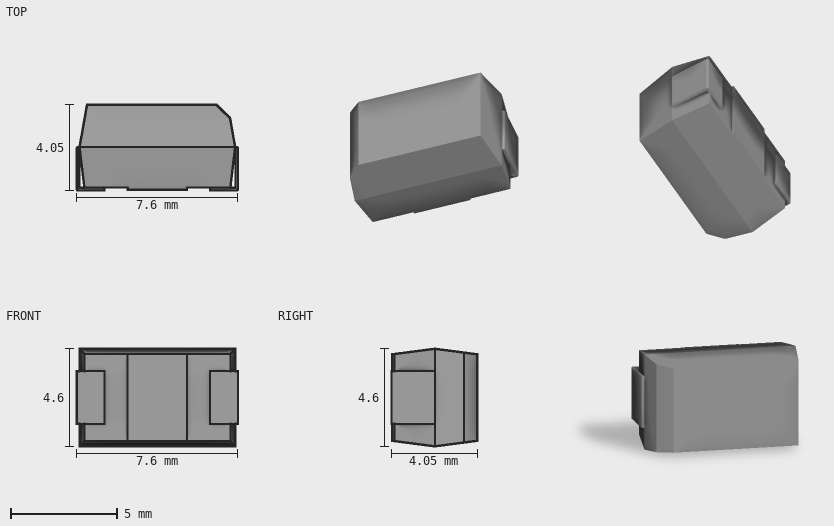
import cadquery as cq

LENGTH = 7.6
WIDTH = 4.6

TERMINAL_THICKNESS = 0.14
TERMINAL_HEIGHT = 2.045
TERMINAL_WIDTH = 2.485
FOOT_LENGTH = 1.315
BEND_RADIUS = 0.1

CASE_LENGTH = LENGTH - 2 * TERMINAL_THICKNESS
CASE_END_WIDTH = 4.07
CAP_HEIGHT = 2.0
CAP_TOP_LENGTH = 6.62
BASE_BOTTOM_LENGTH = 6.85
BASE_HEIGHT = 2.015

PAD_LENGTH = 2.805
FOOT_SEAT_DEPTH = TERMINAL_HEIGHT - TERMINAL_THICKNESS

BEVEL_LENGTH = 0.54
BEVEL_DROP = 0.63


def tapered_block(end_length, height, direction):
    """Frustum from the parting plane to a smaller end face, along +Y (1) or -Y (-1)."""
    return (
        cq.Workplane("XZ")
        .rect(CASE_LENGTH, WIDTH)
        .workplane(offset=-direction * height)
        .rect(end_length, CASE_END_WIDTH)
        .loft(ruled=True)
    )


def make_cap():
    """Upper half of the case with the polarity bevel cut off."""
    cap = tapered_block(CAP_TOP_LENGTH, CAP_HEIGHT, 1)
    end_slope = (CASE_LENGTH - CAP_TOP_LENGTH) / 2 / CAP_HEIGHT
    top_edge_x = CAP_TOP_LENGTH / 2
    bevel_foot_x = top_edge_x + BEVEL_DROP * end_slope
    bevel = (
        cq.Workplane("XY")
        .moveTo(top_edge_x - BEVEL_LENGTH, CAP_HEIGHT)
        .lineTo(bevel_foot_x, CAP_HEIGHT - BEVEL_DROP)
        .lineTo(bevel_foot_x, CAP_HEIGHT)
        .close()
        .extrude(WIDTH / 2, both=True)
    )
    return cap.cut(bevel)


def make_base():
    """Lower half of the case, relieved at both ends so that a pad stands between the feet."""
    base = tapered_block(BASE_BOTTOM_LENGTH, BASE_HEIGHT, -1)
    relief_length = (CASE_LENGTH - PAD_LENGTH) / 2
    relief_center_x = (CASE_LENGTH + PAD_LENGTH) / 4
    reliefs = (
        cq.Workplane("XZ", origin=(0, -FOOT_SEAT_DEPTH, 0))
        .pushPoints([(-relief_center_x, 0), (relief_center_x, 0)])
        .rect(relief_length, WIDTH)
        .extrude(BASE_HEIGHT - FOOT_SEAT_DEPTH)
    )
    return base.cut(reliefs)


def make_terminal(side):
    """L-shaped strip at the -X (side = -1) or +X (side = 1) end, foot turned inwards."""
    outer_x = side * LENGTH / 2
    inner_x = side * (LENGTH / 2 - TERMINAL_THICKNESS)
    toe_x = side * (LENGTH / 2 - FOOT_LENGTH)
    strip = (
        cq.Workplane("XY")
        .moveTo(inner_x, 0)
        .lineTo(outer_x, 0)
        .lineTo(outer_x, -TERMINAL_HEIGHT)
        .lineTo(toe_x, -TERMINAL_HEIGHT)
        .lineTo(toe_x, -FOOT_SEAT_DEPTH)
        .lineTo(inner_x, -FOOT_SEAT_DEPTH)
        .close()
        .extrude(TERMINAL_WIDTH / 2, both=True)
    )
    outer_corners = strip.faces(">X" if side > 0 else "<X").edges("|Z")
    return outer_corners.fillet(BEND_RADIUS)


cap = make_cap()
base = make_base()
terminals = [make_terminal(side) for side in (-1, 1)]

result = cq.Compound.makeCompound([cap.val(), base.val(), *[terminal.val() for terminal in terminals]])